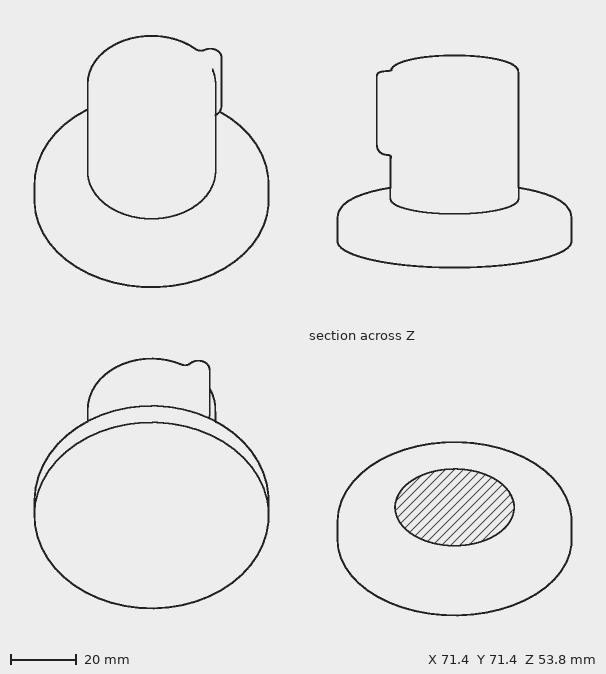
import cadquery as cq
import math

base_radius = 71.4 / 2
base_height = 10.72
base_edge_radius = 3.7

neck_radius = 18.2
neck_height = 2.27
neck_fillet_radius = 2.1

total_height = 53.79
grip_radius = 39 / 2
grip_bottom_z = base_height + neck_height
grip_height = total_height - grip_bottom_z
grip_top_edge_radius = 1.0
grip_bottom_edge_radius = 0.3

pointer_radius = 3.5
pointer_bottom_z = 28.3
pointer_bottom_edge_radius = 3.0
pointer_blend_radius = 2.0
pointer_flat_length = 0.05

blend_center_x = pointer_radius + pointer_blend_radius
blend_center_y = math.sqrt((grip_radius + pointer_blend_radius) ** 2 - blend_center_x**2)
pointer_center_y = blend_center_y + pointer_flat_length


def make_base_and_neck():
    """Disc with a rounded upper rim and a neck that flares into it."""
    base = cq.Workplane("XY").circle(base_radius).extrude(base_height)
    base = base.faces(">Z").edges().fillet(base_edge_radius)
    base = base.faces(">Z").workplane().circle(neck_radius).extrude(neck_height)
    neck_root = cq.selectors.RadiusNthSelector(0)
    return base.faces("|Z").faces(">Z[-2]").edges(neck_root).fillet(neck_fillet_radius)


def make_pointer():
    """Round-nosed rib with a rounded lower end, reaching back to the grip axis."""
    rib = (
        cq.Workplane("XY", origin=(0, 0, pointer_bottom_z))
        .moveTo(-pointer_radius, 0)
        .lineTo(-pointer_radius, pointer_center_y)
        .threePointArc((0, pointer_center_y + pointer_radius), (pointer_radius, pointer_center_y))
        .lineTo(pointer_radius, 0)
        .close()
        .extrude(total_height - pointer_bottom_z)
    )
    return rib.faces("<Z").edges("not <Y").fillet(pointer_bottom_edge_radius)


def pointer_seams():
    """Selector for the edges where the pointer meets the grip, by their centers."""
    margin = 0.1
    flank_seam_y = math.sqrt(grip_radius**2 - pointer_radius**2)
    return cq.selectors.BoxSelector(
        (-pointer_radius - margin, flank_seam_y - margin, pointer_bottom_z - margin),
        (pointer_radius + margin, grip_radius + margin, total_height - margin),
    )


def make_grip():
    """Cylinder with rounded ends and the pointer blended into its side."""
    grip = cq.Workplane("XY", origin=(0, 0, grip_bottom_z)).circle(grip_radius).extrude(grip_height)
    grip = grip.union(make_pointer())
    grip = grip.edges(pointer_seams()).fillet(pointer_blend_radius)
    grip = grip.faces(">Z").edges().fillet(grip_top_edge_radius)
    return grip.faces("<Z").edges().fillet(grip_bottom_edge_radius)


result = make_base_and_neck().union(make_grip())